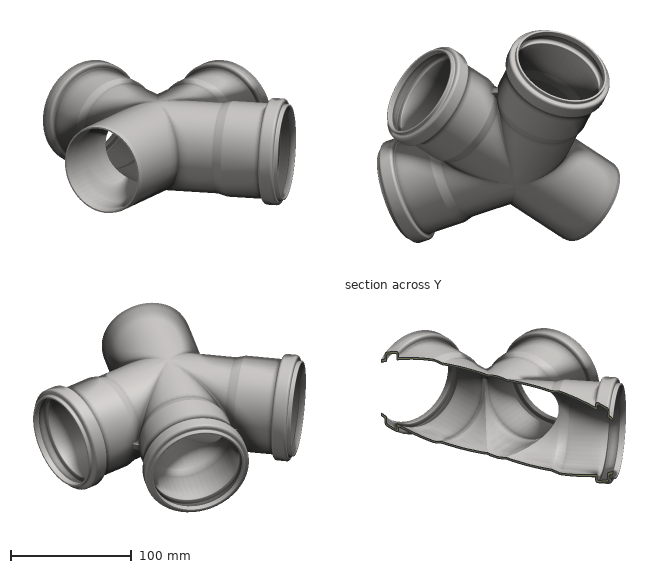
import cadquery as cq
import math

SPIGOT_LENGTH = 82.3
SOCKET_REACH = 109.2
BRANCH_ANGLE = 67.5
SOCKET_ANGLES = (-BRANCH_ANGLE, 0.0, BRANCH_ANGLE)

PIPE_OUTER_R = 75.1 / 2
PIPE_BORE_R = 71.3 / 2
SOCKET_OUTER_R = 79.4 / 2
SOCKET_BORE_R = 75.8 / 2
LIP_OUTER_R = 79.7 / 2
LIP_BORE_R = 76.1 / 2
COLLAR_R = 88.6 / 2
GROOVE_R = 85.0 / 2

COLLAR_FRONT = 3.4
COLLAR_BACK = 15.8
COLLAR_ROUND = 2.2
COLLAR_ROOT_ROUND = 0.9
RIM_ROUND = 0.5
GROOVE_ROUND = 1.0
GROOVE_EDGE_ROUND = 0.8
COLLAR_WALL = COLLAR_R - GROOVE_R
CONE_START = 47.5
CONE_END = 55.3

SPIGOT_CHAMFER_LENGTH = 3.5
SPIGOT_CHAMFER_DEPTH = 0.6

WEB_REACH = 69.3
WEB_HEIGHT = PIPE_OUTER_R
WEB_THICKNESS = 3.0
POST_CENTRE = 69.8
POST_R = 6.6
POST_HEIGHT = 5.0

ARC_MID = math.sqrt(0.5)


def turned(body, angle):
    """Turn a body built along +Y about the Z axis, counter-clockwise."""
    return body.rotate((0, 0, 0), (0, 0, 1), angle)


def revolved(profile):
    """Revolve a closed profile (x = radius, y = position along the axis) about Y."""
    return profile.close().revolve(360, (0, 0, 0), (0, 1, 0))


def collar_steps(profile, wall_r, collar_r, lip_r, back, front, corner, root):
    """Add the step out to the collar at `back` and in to the lip at `front`.

    Collar corners are rounded with radius `corner`, the feet of the steps with `root`.
    """
    corner_inset = corner * (1 - ARC_MID)
    root_inset = root * (1 - ARC_MID)
    return (
        profile.lineTo(wall_r, back - root)
        .threePointArc((wall_r + root_inset, back - root_inset), (wall_r + root, back))
        .lineTo(collar_r - corner, back)
        .threePointArc((collar_r - corner_inset, back + corner_inset), (collar_r, back + corner))
        .lineTo(collar_r, front - corner)
        .threePointArc((collar_r - corner_inset, front - corner_inset), (collar_r - corner, front))
        .lineTo(lip_r + root, front)
        .threePointArc((lip_r + root_inset, front + root_inset), (lip_r, front + root))
    )


def socket_outside():
    """Solid outside of one socket arm, from the junction centre to its mouth."""
    mouth = SOCKET_REACH
    rim_inset = RIM_ROUND * (1 - ARC_MID)
    profile = (
        cq.Workplane("XY")
        .lineTo(PIPE_OUTER_R, 0)
        .lineTo(PIPE_OUTER_R, mouth - CONE_END)
        .lineTo(SOCKET_OUTER_R, mouth - CONE_START)
    )
    profile = collar_steps(
        profile,
        SOCKET_OUTER_R,
        COLLAR_R,
        LIP_OUTER_R,
        mouth - COLLAR_BACK,
        mouth - COLLAR_FRONT,
        COLLAR_ROUND,
        COLLAR_ROOT_ROUND,
    )
    return revolved(
        profile.lineTo(LIP_OUTER_R, mouth - RIM_ROUND)
        .threePointArc((LIP_OUTER_R - rim_inset, mouth - rim_inset), (LIP_OUTER_R - RIM_ROUND, mouth))
        .lineTo(0, mouth)
    )


def socket_inside():
    """Hollow of one socket arm: pipe bore, cone, socket bore, seal groove and lip."""
    mouth = SOCKET_REACH
    rim_inset = RIM_ROUND * (1 - ARC_MID)
    profile = (
        cq.Workplane("XY")
        .lineTo(PIPE_BORE_R, 0)
        .lineTo(PIPE_BORE_R, mouth - CONE_END)
        .lineTo(SOCKET_BORE_R, mouth - CONE_START)
    )
    profile = collar_steps(
        profile,
        SOCKET_BORE_R,
        GROOVE_R,
        LIP_BORE_R,
        mouth - COLLAR_BACK + COLLAR_WALL,
        mouth - COLLAR_FRONT - COLLAR_WALL,
        GROOVE_ROUND,
        GROOVE_EDGE_ROUND,
    )
    return revolved(
        profile.lineTo(LIP_BORE_R, mouth - RIM_ROUND)
        .threePointArc((LIP_BORE_R + rim_inset, mouth - rim_inset), (LIP_BORE_R + RIM_ROUND, mouth))
        .lineTo(0, mouth)
    )


def spigot_outside():
    """Solid outside of the plain pipe end, pointing along -Y."""
    return revolved(
        cq.Workplane("XY")
        .lineTo(PIPE_OUTER_R, 0)
        .lineTo(PIPE_OUTER_R, SPIGOT_CHAMFER_LENGTH - SPIGOT_LENGTH)
        .lineTo(PIPE_OUTER_R - SPIGOT_CHAMFER_DEPTH, -SPIGOT_LENGTH)
        .lineTo(0, -SPIGOT_LENGTH)
    )


def spigot_inside():
    """Straight bore of the plain pipe end."""
    return cq.Workplane("XZ").circle(PIPE_BORE_R).extrude(SPIGOT_LENGTH)


def crotch_web():
    """Upright half-ellipse plate with a short post at its tip, pointing along +Y."""
    plate = cq.Workplane("YZ").ellipse(WEB_REACH, WEB_HEIGHT).extrude(WEB_THICKNESS / 2, both=True)
    outer_half = cq.Workplane("XY").box(
        WEB_THICKNESS, WEB_REACH, 2 * WEB_HEIGHT, centered=(True, False, True)
    )
    post = cq.Workplane("XY").center(0, POST_CENTRE).circle(POST_R).extrude(POST_HEIGHT / 2, both=True)
    return plate.intersect(outer_half).union(post)


outside = spigot_outside()
inside = spigot_inside()
for socket_angle in SOCKET_ANGLES:
    outside = outside.union(turned(socket_outside(), socket_angle))
    inside = inside.union(turned(socket_inside(), socket_angle))
for web_angle in (-BRANCH_ANGLE / 2, BRANCH_ANGLE / 2):
    outside = outside.union(turned(crotch_web(), web_angle))

result = outside.cut(inside)